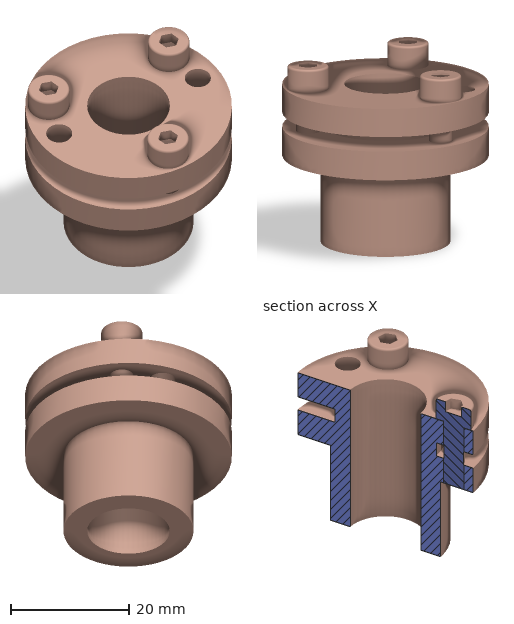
import cadquery as cq
import math

flange_diameter = 35.0
lower_flange_thickness = 5.0
upper_flange_thickness = 4.9
gap_height = 2.55
neck_diameter = 20.25
sleeve_diameter = 22.0
sleeve_length = 15.0
bore_diameter = 14.0

pitch_radius = 13.5
screw_angles = (90, 210, 330)
jacking_angles = (60, 240)
jacking_diameter = 4.4

shank_diameter = 4.0
head_diameter = 7.0
head_height = 4.02
head_fillet = 0.4
socket_across_flats = 3.0
socket_depth = 2.0
socket_turn = 45

lower_flange_bottom = sleeve_length
lower_flange_top = lower_flange_bottom + lower_flange_thickness
upper_flange_bottom = lower_flange_top + gap_height
upper_flange_top = upper_flange_bottom + upper_flange_thickness


def cylinder(diameter, bottom, top):
    """Cylinder on the Z axis between two levels."""
    return cq.Workplane("XY").workplane(offset=bottom).circle(diameter / 2).extrude(top - bottom)


def on_pitch_circle(body, angle):
    """Copy of a body from the Z axis, moved without turning to an angle on the pitch circle."""
    turn = math.radians(angle)
    return body.translate((pitch_radius * math.cos(turn), pitch_radius * math.sin(turn), 0))


def make_hub():
    """Double-flanged hub with its bore, screw holes and jacking holes."""
    hub = cylinder(sleeve_diameter, 0, lower_flange_bottom)
    hub = hub.union(cylinder(flange_diameter, lower_flange_bottom, lower_flange_top))
    hub = hub.union(cylinder(neck_diameter, lower_flange_top, upper_flange_bottom))
    hub = hub.union(cylinder(flange_diameter, upper_flange_bottom, upper_flange_top))
    hub = hub.cut(cylinder(bore_diameter, 0, upper_flange_top))

    screw_hole = cylinder(shank_diameter, lower_flange_bottom, upper_flange_top)
    for angle in screw_angles:
        hub = hub.cut(on_pitch_circle(screw_hole, angle))

    jacking_hole = cylinder(jacking_diameter, upper_flange_bottom, upper_flange_top)
    for angle in jacking_angles:
        hub = hub.cut(on_pitch_circle(jacking_hole, angle))
    return hub


def make_screw(angle):
    """Cap screw seated on the upper flange, its shank ending flush under the lower flange."""
    head_top = upper_flange_top + head_height
    head = cylinder(head_diameter, upper_flange_top, head_top).faces(">Z").edges().fillet(head_fillet)
    shank = cylinder(shank_diameter, lower_flange_bottom, upper_flange_top)

    socket_across_corners = socket_across_flats / math.cos(math.pi / 6)
    socket = (
        cq.Workplane("XY")
        .workplane(offset=head_top - socket_depth)
        .polygon(6, socket_across_corners)
        .extrude(socket_depth)
        .rotate((0, 0, 0), (0, 0, 1), socket_turn)
    )
    return on_pitch_circle(head.union(shank).cut(socket), angle)


hub = make_hub()
screws = [make_screw(angle) for angle in screw_angles]

result = cq.Compound.makeCompound([hub.val(), *[screw.val() for screw in screws]])